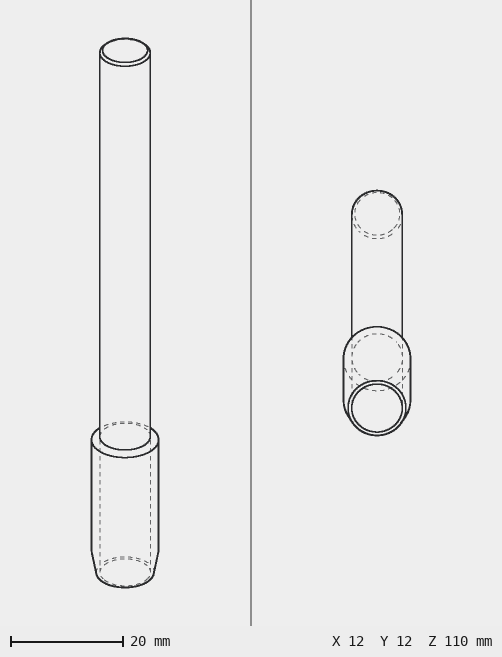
import cadquery as cq

total_length = 110.0
rod_radius = 4.5
sleeve_radius = 6.0

rod_chamfer = 0.5

sleeve_length = 28.6
shoulder_height = 0.7
nose_height = 4.6
nose_tip_radius = 5.2

bottom = -total_length / 2


def make_rod():
    """Straight rod over the full length, chamfered at its free upper end."""
    rod = cq.Workplane("XY").workplane(offset=bottom).circle(rod_radius).extrude(total_length)
    return rod.faces(">Z").edges().chamfer(rod_chamfer)


def make_sleeve():
    """Revolved sleeve around the rod, with a sloped shoulder and a tapered lead-in nose."""
    top = bottom + sleeve_length
    nose_top = bottom + nose_height
    profile = (
        cq.Workplane("XZ")
        .moveTo(rod_radius, bottom)
        .lineTo(nose_tip_radius, bottom)
        .lineTo(sleeve_radius, nose_top)
        .lineTo(sleeve_radius, top - shoulder_height)
        .lineTo(rod_radius, top)
        .close()
    )
    return profile.revolve(360, (0, 0, 0), (0, 1, 0))


rod = make_rod()
sleeve = make_sleeve()

result = cq.Compound.makeCompound([rod.val(), sleeve.val()])